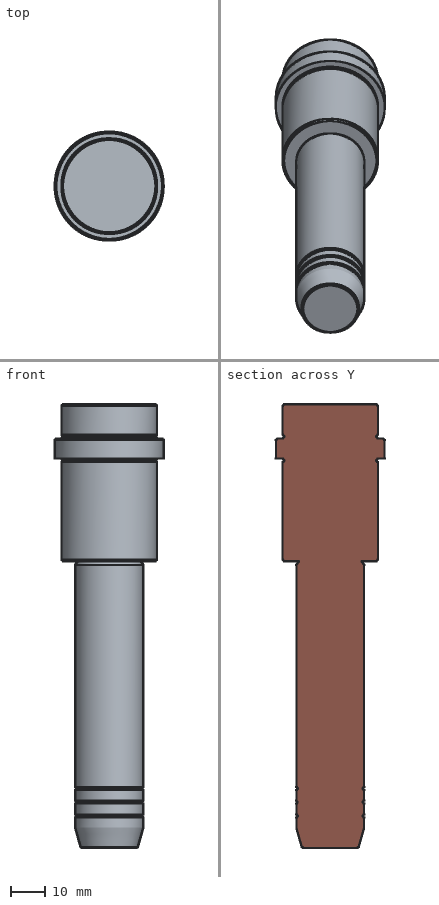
import cadquery as cq

total_height = 130.0
pin_radius = 10.0
head_radius = 14.0
collar_radius = 16.0
collar_top = total_height - 10.0
collar_height = 6.0
head_bottom = total_height - 46.0
edge_chamfer = 0.5

tip_radius = 8.3
taper_height = 6.0
tip_chamfer = 0.4

head_groove_width = 1.0
pin_groove_width = 0.9
pin_groove_count = 3
first_pin_groove_bottom = 9.0
pin_groove_pitch = 4.0

undercut_height = 1.0
undercut_depth = 0.8

collar_bottom = collar_top - collar_height


def cylinder(radius, bottom, top):
    """Upright cylinder on the Z axis."""
    return cq.Workplane("XY").workplane(offset=bottom).circle(radius).extrude(top - bottom)


def cut_ring(body, outline):
    """Cut away the (radius, height) outline turned around the Z axis."""
    cutter = cq.Workplane("XZ").polyline(outline).close().revolve(360, (0, 0, 0), (0, 1, 0))
    return body.cut(cutter)


def cut_v_groove(body, radius, bottom, width):
    """Cut a V groove with 45 degree sides around a cylinder, starting at the given height."""
    half_width = width / 2
    outline = [
        (radius, bottom),
        (radius - half_width, bottom + half_width),
        (radius, bottom + width),
    ]
    return cut_ring(body, outline)


pin = cylinder(pin_radius, taper_height, head_bottom)
tip = (
    cq.Workplane("XY")
    .circle(tip_radius)
    .workplane(offset=taper_height)
    .circle(pin_radius)
    .loft(ruled=True)
    .faces("<Z")
    .chamfer(tip_chamfer)
)
pin = pin.union(tip)
for index in range(pin_groove_count):
    groove_bottom = first_pin_groove_bottom + index * pin_groove_pitch
    pin = cut_v_groove(pin, pin_radius, groove_bottom, pin_groove_width)

undercut_outline = [
    (pin_radius, head_bottom - undercut_height),
    (pin_radius - undercut_depth, head_bottom),
    (pin_radius, head_bottom),
]
pin = cut_ring(pin, undercut_outline)

head = cylinder(head_radius, head_bottom, total_height).faces("<Z or >Z").chamfer(edge_chamfer)
head = cut_v_groove(head, head_radius, collar_top, head_groove_width)
head = cut_v_groove(head, head_radius, collar_bottom - head_groove_width, head_groove_width)

collar = cylinder(collar_radius, collar_bottom, collar_top).faces(">Z").chamfer(edge_chamfer)

result = pin.union(head).union(collar)